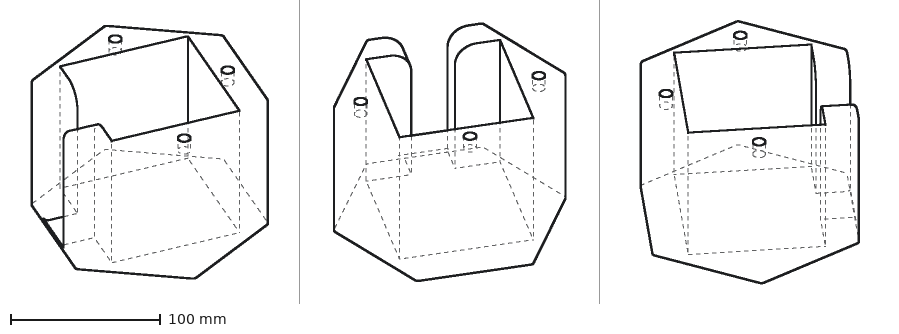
import cadquery as cq
import math

side_count = 6
length = 159.0
height = 103.0
edge_radius = 3.0

floor_thickness = 3.0
pocket_side = 92.0
slot_width = 29.9
slot_mouth_radius = 15.0

hole_diameter = 8.5
hole_depth = 10.0
side_hole_offset = 61.2
back_hole_offset = 56.2

half_side_angle = math.pi / side_count
corner_setback = edge_radius * (1 / math.cos(half_side_angle) - 1)
sharp_length = length + 2 * corner_setback
half_depth = sharp_length / 2 * math.cos(half_side_angle)
wall_height = height - floor_thickness


def hexagon_block(base_z, block_height):
    block = cq.Workplane("XY").workplane(offset=base_z).polygon(side_count, sharp_length).extrude(block_height)
    return block.edges("|Z").fillet(edge_radius)


def pocket_cutter():
    pocket = cq.Workplane("XY").workplane(offset=floor_thickness)
    return pocket.rect(pocket_side, pocket_side).extrude(wall_height)


def slot_cutter():
    """Front slot that flares at the top, reaching from the front face to the block centre."""
    half_width = slot_width / 2
    half_mouth = half_width + slot_mouth_radius
    flare_z = height - slot_mouth_radius
    profile = (
        cq.Workplane("XZ")
        .moveTo(-half_width, floor_thickness)
        .lineTo(half_width, floor_thickness)
        .lineTo(half_width, flare_z)
        .radiusArc((half_mouth, height), slot_mouth_radius)
        .lineTo(-half_mouth, height)
        .radiusArc((-half_width, flare_z), slot_mouth_radius)
        .close()
    )
    return profile.extrude(half_depth)


def hole_cutters():
    centres = [(-side_hole_offset, 0), (side_hole_offset, 0), (0, back_hole_offset)]
    top = cq.Workplane("XY").workplane(offset=height)
    return top.pushPoints(centres).circle(hole_diameter / 2).extrude(-hole_depth)


walls = hexagon_block(floor_thickness, wall_height).cut(slot_cutter())
walls = walls.faces(">Y").edges(">Z").fillet(edge_radius)
walls = walls.cut(pocket_cutter())

result = walls.union(hexagon_block(0, floor_thickness)).cut(hole_cutters())